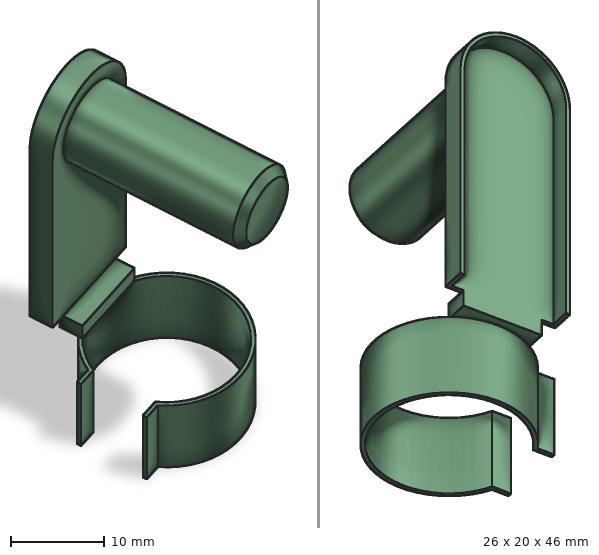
import cadquery as cq

height = 46.0
length = 26.0
sheet = 0.5

plate_depth = 3.0
plate_width = 14.0
plate_radius = plate_width / 2
pin_z = height - plate_radius

pin_diameter = 10.0
pin_chamfer = 1.0

clip_height = 10.0
clip_radius = 9.5
clip_x = 13.0
leg_half_span = 4.5
leg_reach = 10.5

tab_width = 10.0
tab_height = 2.02
plate_bottom = clip_height + tab_height
web_x = plate_depth - sheet


def round_top_slab(radius, x_start, x_end):
    """Upright slab with a half-round top centred on the pin axis."""
    return (
        cq.Workplane("YZ", origin=(x_start, 0, 0))
        .moveTo(-radius, plate_bottom)
        .lineTo(radius, plate_bottom)
        .lineTo(radius, pin_z)
        .threePointArc((0, pin_z + radius), (-radius, pin_z))
        .close()
        .extrude(x_end - x_start)
    )


def make_plate():
    recess = round_top_slab(plate_radius - sheet, 0, web_x)
    return round_top_slab(plate_radius, 0, plate_depth).cut(recess)


def make_pin():
    return (
        cq.Workplane("YZ", origin=(web_x, 0, pin_z))
        .circle(pin_diameter / 2)
        .extrude(length - web_x)
        .faces(">X")
        .chamfer(pin_chamfer)
    )


def make_tab():
    return cq.Workplane("XY", origin=(web_x, 0, clip_height)).box(
        plate_depth, tab_width, tab_height, centered=(False, True, False)
    )


def make_clip():
    base = cq.Workplane("XY", origin=(clip_x, 0, 0))
    bore = base.circle(clip_radius - sheet).extrude(clip_height)
    ring = base.circle(clip_radius).extrude(clip_height)

    legs = base.box(2 * leg_half_span, leg_reach, clip_height, centered=(True, False, False))
    legs = legs.translate((0, -leg_reach, 0))
    gap_width = 2 * (leg_half_span - sheet)
    gap = base.box(gap_width, leg_reach, clip_height, centered=(True, False, False))
    gap = gap.translate((0, -leg_reach, 0))
    return ring.union(legs).cut(bore).cut(gap)


result = make_plate().union(make_pin()).union(make_tab()).union(make_clip())